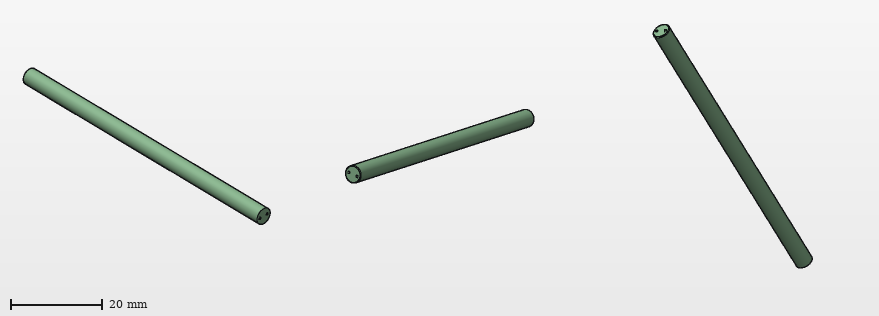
import cadquery as cq
import math

rod_length = 75.0
rod_diameter = 4.0
end_chamfer = 0.19
channel_diameter = 0.5
channel_circle_diameter = 2.2
start_angle = 18.0
helix_angle = 30.0

helix_pitch = math.pi * rod_diameter / math.tan(math.radians(helix_angle))
total_twist = 360.0 * rod_length / helix_pitch


def end_plane():
    """Sketch plane on the -X end: local x is +Y, local y is +Z."""
    return cq.Workplane("YZ", origin=(-rod_length / 2, 0, 0))


def make_channels():
    """Two opposite channels, twisting from +Y towards +Z along the rod."""
    return (
        end_plane()
        .polarArray(channel_circle_diameter / 2, start_angle, 360, 2)
        .circle(channel_diameter / 2)
        .twistExtrude(rod_length, total_twist)
    )


rod = end_plane().circle(rod_diameter / 2).extrude(rod_length).faces("<X").chamfer(end_chamfer)
result = rod.cut(make_channels())